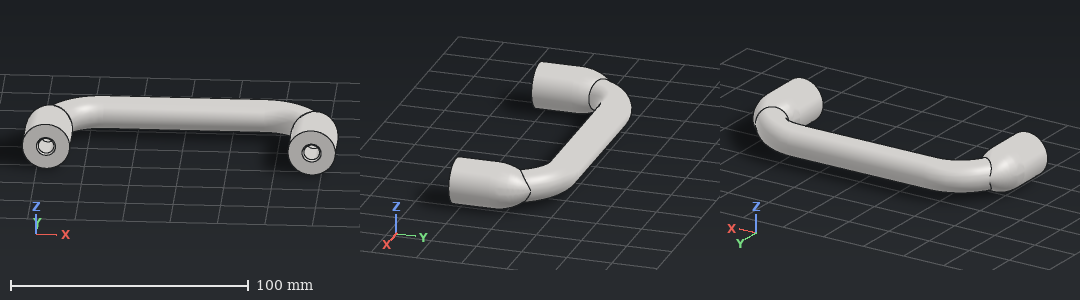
import cadquery as cq
import math

length = 132.0
depth = 47.0
bar_dia = 14.0
leg_dia = 20.0
leg_height = 18.0
hole_dia = 6.6
hole_mouth_dia = 8.0
hole_depth = 13.2
drill_point_angle = 118.0

leg_radius = leg_dia / 2
leg_x = length / 2 - leg_radius
bar_radius = bar_dia / 2
bar_y = depth - bar_radius
bend_radius = bar_y - leg_height
straight_half = leg_x - bend_radius


def make_bar():
    """Round bar with a quarter bend at each end, ending inside the legs."""
    bend_mid = bend_radius * math.sqrt(0.5)
    path = (
        cq.Workplane("XY")
        .moveTo(-leg_x, leg_height)
        .threePointArc(
            (-straight_half - bend_mid, leg_height + bend_mid),
            (-straight_half, bar_y),
        )
        .lineTo(straight_half, bar_y)
        .threePointArc(
            (straight_half + bend_mid, leg_height + bend_mid),
            (leg_x, leg_height),
        )
    )
    section = cq.Workplane("XZ", origin=(-leg_x, leg_height, 0)).circle(bar_radius)
    return section.sweep(path)


def make_leg():
    """Cylinder with a pointed dome whose arc is centred on the opposite edge."""
    dome_radius = leg_dia
    tip_y = leg_height + math.sqrt(dome_radius**2 - leg_radius**2)
    arc_mid_angle = math.acos(leg_radius / dome_radius) / 2
    arc_mid = (
        dome_radius * math.cos(arc_mid_angle) - leg_radius,
        leg_height + dome_radius * math.sin(arc_mid_angle),
    )
    return (
        cq.Workplane("XY")
        .lineTo(leg_radius, 0)
        .lineTo(leg_radius, leg_height)
        .threePointArc(arc_mid, (0, tip_y))
        .close()
        .revolve(360, (0, 0), (0, 1))
    )


def make_hole():
    """Blind drilled hole with a 45 degree chamfered mouth and a conical end."""
    hole_radius = hole_dia / 2
    mouth_radius = hole_mouth_dia / 2
    point_length = hole_radius / math.tan(math.radians(drill_point_angle / 2))
    return (
        cq.Workplane("XY")
        .lineTo(mouth_radius, 0)
        .lineTo(hole_radius, mouth_radius - hole_radius)
        .lineTo(hole_radius, hole_depth)
        .lineTo(0, hole_depth + point_length)
        .close()
        .revolve(360, (0, 0), (0, 1))
    )


result = make_bar()
for x in (-leg_x, leg_x):
    result = result.union(make_leg().translate((x, 0, 0)))
for x in (-leg_x, leg_x):
    result = result.cut(make_hole().translate((x, 0, 0)))